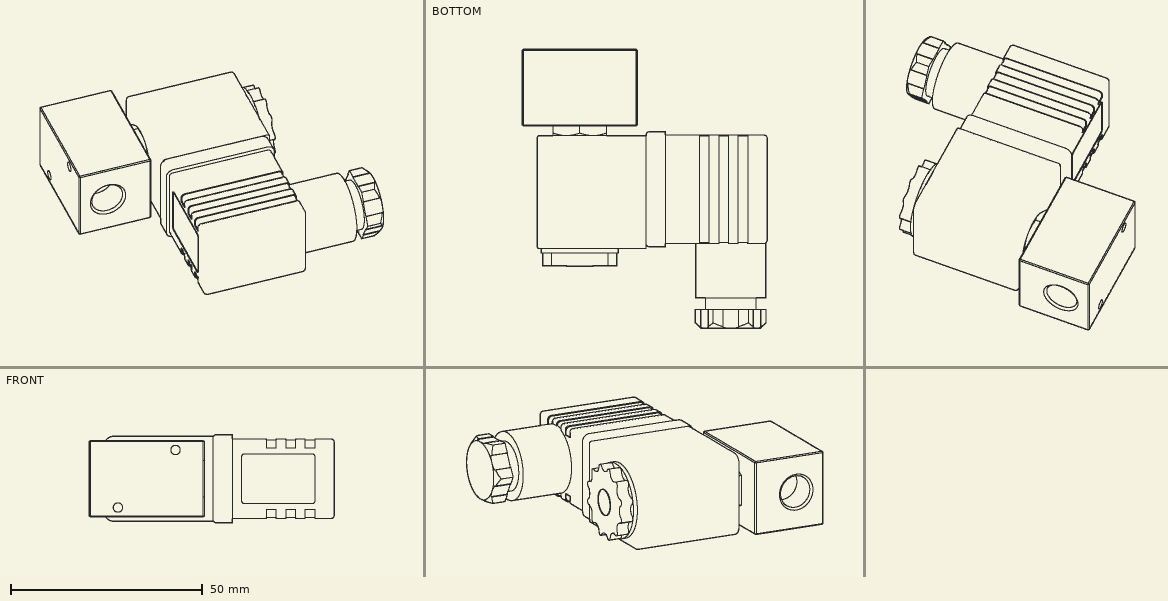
import cadquery as cq
import math


block_width = 30.0
block_side = 20.0
block_chamfer = 0.3
port_drill_dia = 8.57
port_mouth_dia = 9.8
port_y = 8.0
port_depth = 8.0
drill_point_angle = 118.0
mount_hole_dia = 2.46
mount_hole_offset = 7.5
mount_hole_depth = 6.0
hex_sides = 6
hex_across_flats = 14.0
hex_height = 2.5
hex_chamfer_angle = 30.0
tube_dia = 6.9
tube_end_y = 56.65

coil_side = 22.2
coil_length = 29.5
coil_start_y = block_side + hex_height
coil_corner_radius = 2.5
coil_edge_radius = 0.6
coil_end_x = 17.3
coil_width = 28.4
flange_thickness = 5.0
flange_length = 30.0
flange_height = 23.0
flange_corner_radius = 2.0
flange_edge_radius = 0.8

plug_center_y = 36.5
plug_start_x = coil_end_x + flange_thickness
plug_end_x = 48.9
plug_length = 28.3
plug_height = 20.8
plug_radius = 1.0
plug_end_radius = 0.9
groove_count = 3
groove_width = 2.55
groove_pitch = 5.05
groove_start_x = 31.2
groove_depth = 0.25
groove_reach_z = 8.05
panel_width = 19.15
panel_height = 13.0
panel_radius = 0.8
panel_depth = 0.2
panel_center_x = 34.3

gland_x = 39.35
sleeve_dia = 18.3
sleeve_end_y = 64.8
neck_dia = 13.2
neck_end_y = 67.8
gland_end_y = 72.75
gland_across_flats = 16.0
gland_pad_width = 3.95
gland_pad_depth = 0.2

nut_flange_dia = 20.2
nut_flange_height = 1.15
nut_end_y = 56.45
lobe_count = 12
lobe_tip_radius = 0.87
lobe_tip_circle_dia = 20.0
lobe_center_radius = lobe_tip_circle_dia / 2 - lobe_tip_radius
scallop_radius = 2.0


def plane_along_y(y, x=0.0):
    """Workplane facing +Y, with local x along +X and local y along -Z."""
    return cq.Workplane(cq.Plane(origin=(x, y, 0), xDir=(1, 0, 0), normal=(0, 1, 0)))


def cylinder_along_y(diameter, start_y, end_y, x=0.0):
    return plane_along_y(start_y, x).circle(diameter / 2).extrude(end_y - start_y)


def rounded_bar_along_x(start_x, end_x, length, height, radius):
    """Bar centred on the plug, with its four edges along X rounded."""
    bar = cq.Workplane("YZ", origin=(start_x, plug_center_y, 0)).rect(length, height)
    return bar.extrude(end_x - start_x).edges("|X").fillet(radius)


def hexagon_along_y(across_flats, start_y, end_y, x=0.0, turn=0.0):
    """Hexagonal prism; its corners point along X, and are turned about Y by the given angle."""
    across_corners = across_flats / math.cos(math.pi / hex_sides)
    prism = plane_along_y(start_y, x).polygon(hex_sides, across_corners).extrude(end_y - start_y)
    return prism.rotate((x, 0, 0), (x, 1, 0), turn)


def corner_chamfer_limit(across_flats, end_dia, start_y, end_y, slope=1.0, x=0.0):
    """Round body that trims hexagon corners: it tapers to end_dia at end_y, by slope along Y per radius."""
    outer_radius = across_flats
    taper_start_y = end_y - (outer_radius - end_dia / 2) * slope
    low_y = min(start_y, taper_start_y) - across_flats
    profile = [
        (0, low_y),
        (outer_radius, low_y),
        (outer_radius, taper_start_y),
        (end_dia / 2, end_y),
        (0, end_y),
    ]
    limit = cq.Workplane("XY").polyline(profile).close().revolve(360, (0, 0, 0), (0, 1, 0))
    return limit.translate((x, 0, 0))


def port_cutter():
    """Conical-bottom bore with a 45 degree mouth, entering the block from -X."""
    drill_radius = port_drill_dia / 2
    mouth_radius = port_mouth_dia / 2
    point_depth = drill_radius / math.tan(math.radians(drill_point_angle / 2))
    face_x = -block_width / 2
    profile = [
        (face_x, 0),
        (face_x, mouth_radius),
        (face_x + mouth_radius - drill_radius, drill_radius),
        (face_x + port_depth, drill_radius),
        (face_x + port_depth + point_depth, 0),
    ]
    bore = cq.Workplane("XY").polyline(profile).close().revolve(360, (0, 0, 0), (1, 0, 0))
    return bore.translate((0, port_y, 0))


def make_valve():
    block = cq.Workplane("XY").box(block_width, block_side, block_side)
    block = block.translate((0, block_side / 2, 0)).edges().chamfer(block_chamfer)
    port = port_cutter()
    block = block.cut(port).cut(port.mirror("YZ"))
    for side in (-1, 1):
        hole = cylinder_along_y(mount_hole_dia, 0, mount_hole_depth, side * mount_hole_offset)
        block = block.cut(hole.translate((0, 0, side * mount_hole_offset)))

    hexagon = hexagon_along_y(hex_across_flats, block_side, coil_start_y, turn=180 / hex_sides)
    hexagon = hexagon.intersect(
        corner_chamfer_limit(
            hex_across_flats, hex_across_flats, block_side, coil_start_y,
            math.tan(math.radians(hex_chamfer_angle)),
        )
    )
    tube = cylinder_along_y(tube_dia, coil_start_y, tube_end_y)
    return block.union(hexagon).union(tube)


def make_groove(start_x):
    """Shallow band that wraps the top and bottom of the plug housing and leaves the middle of its sides."""
    length = 2 * plug_length
    band = cq.Workplane("XY").box(groove_width, length, 2 * plug_height)
    middle = cq.Workplane("XY").box(groove_width, length, 2 * groove_reach_z)
    band = band.cut(middle).translate((start_x + groove_width / 2, plug_center_y, 0))
    core = rounded_bar_along_x(
        start_x, start_x + groove_width,
        plug_length - 2 * groove_depth, plug_height - 2 * groove_depth, plug_radius,
    )
    return band.cut(core)


def make_plug_housing():
    housing = rounded_bar_along_x(plug_start_x, plug_end_x, plug_length, plug_height, plug_radius)
    housing = housing.faces(">X").edges().fillet(plug_end_radius)
    for index in range(groove_count):
        housing = housing.cut(make_groove(groove_start_x + index * groove_pitch))
    front_y = plug_center_y - plug_length / 2
    panel = plane_along_y(front_y, panel_center_x).rect(panel_width, panel_height)
    panel = panel.extrude(panel_depth)
    return housing.cut(panel.edges("|Y").fillet(panel_radius))


def make_cable_gland():
    sleeve = cylinder_along_y(sleeve_dia, plug_center_y, sleeve_end_y, gland_x)
    neck = cylinder_along_y(neck_dia, sleeve_end_y, neck_end_y, gland_x)
    cap = hexagon_along_y(gland_across_flats, neck_end_y, gland_end_y, gland_x)
    cap_end_dia = gland_across_flats - 2 * gland_pad_depth
    cap = cap.intersect(
        corner_chamfer_limit(gland_across_flats, cap_end_dia, neck_end_y, gland_end_y, x=gland_x)
    )
    cap_height = gland_end_y - neck_end_y
    strip = cq.Workplane("XY").box(gland_pad_width, cap_height, 2 * gland_pad_depth)
    strip = strip.translate((gland_x, neck_end_y + cap_height / 2, gland_across_flats / 2))
    for index in range(hex_sides):
        cap = cap.cut(strip.rotate((gland_x, 0, 0), (gland_x, 1, 0), index * 360 / hex_sides))
    return sleeve.union(neck).union(cap)


def make_coil():
    coil = cq.Workplane("XY").box(coil_width, coil_length, coil_side)
    coil = coil.translate((coil_end_x - coil_width / 2, coil_start_y + coil_length / 2, 0))
    coil = coil.edges("<X and |Y").fillet(coil_corner_radius)
    coil = coil.faces("<Y or >Y").edges("not >X").fillet(coil_edge_radius)

    flange = rounded_bar_along_x(
        coil_end_x, plug_start_x, flange_length, flange_height, flange_corner_radius
    )
    flange = flange.faces("<X").edges().fillet(flange_edge_radius)
    bore = cylinder_along_y(tube_dia, 0, tube_end_y)
    return coil.union(flange).union(make_plug_housing()).union(make_cable_gland()).cut(bore)


def polar_point(radius, angle):
    return (radius * math.cos(angle), radius * math.sin(angle))


def lobed_outline(start_y):
    """Closed ring of small convex tips joined by tangent concave scallops."""
    half_pitch = math.pi / lobe_count
    half_gap = lobe_center_radius * math.sin(half_pitch)
    rise = math.sqrt((lobe_tip_radius + scallop_radius) ** 2 - half_gap**2)
    scallop_center = lobe_center_radius * math.cos(half_pitch) + rise
    scallop_bottom = scallop_center - scallop_radius
    share = scallop_radius / (scallop_radius + lobe_tip_radius)
    tangent_x = scallop_center - share * rise
    tangent_y = share * half_gap
    tangent_radius = math.hypot(tangent_x, tangent_y)
    tangent_angle = math.atan2(tangent_y, tangent_x)

    outline = plane_along_y(start_y).moveTo(*polar_point(tangent_radius, -tangent_angle))
    for index in range(lobe_count):
        gap_angle = 2 * half_pitch * index
        tip_angle = gap_angle + half_pitch
        outline = outline.threePointArc(
            polar_point(scallop_bottom, gap_angle),
            polar_point(tangent_radius, gap_angle + tangent_angle),
        )
        outline = outline.threePointArc(
            polar_point(lobe_center_radius + lobe_tip_radius, tip_angle),
            polar_point(tangent_radius, tip_angle + half_pitch - tangent_angle),
        )
    return outline.close()


def make_nut():
    seat_y = coil_start_y + coil_length
    flange_end_y = seat_y + nut_flange_height
    flange = cylinder_along_y(nut_flange_dia, seat_y, flange_end_y)
    grip = lobed_outline(flange_end_y).extrude(nut_end_y - flange_end_y)
    return flange.union(grip).cut(cylinder_along_y(tube_dia, 0, tube_end_y))


valve = make_valve()
coil = make_coil()
nut = make_nut()

result = cq.Compound.makeCompound([valve.solids().val(), coil.solids().val(), nut.solids().val()])